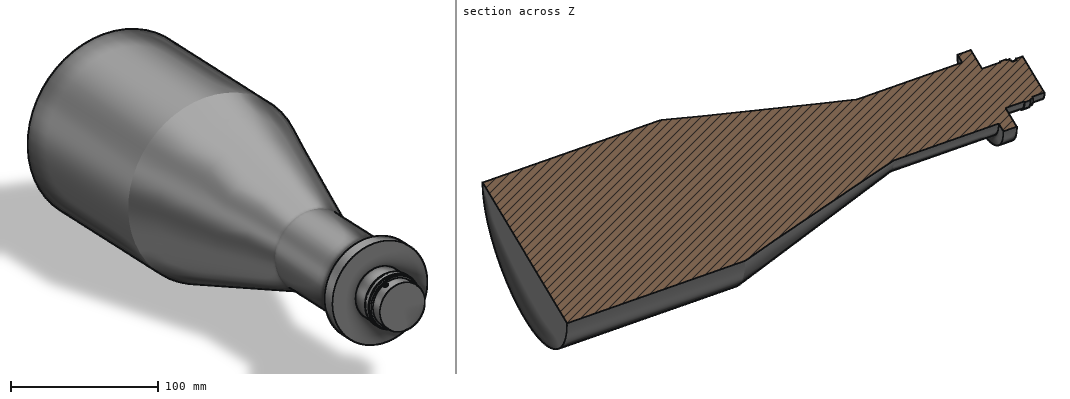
import cadquery as cq

cone_start = 133.0
cone_end = 262.0
flange_start = 340.5
flange_end = 350.8
ring_start = 364.5
ring_end = 369.0
plug_start = 371.3
total_length = 380.5

body_radius = 138.0 / 2
tube_radius = 30.0
flange_radius = 37.5
neck_radius = 19.5
ring_radius = 20.0
plug_radius = 18.0

hole_count = 3
hole_diameter = 3.5
hole_depth = 1.5
hole_x = 373.5
first_hole_angle = 30.0


def make_body():
    """Revolve the stepped outline about the X axis."""
    profile = [
        (0, 0),
        (0, body_radius),
        (cone_start, body_radius),
        (cone_end, tube_radius),
        (flange_start, tube_radius),
        (flange_start, flange_radius),
        (flange_end, flange_radius),
        (flange_end, neck_radius),
        (ring_start, neck_radius),
        (ring_start, ring_radius),
        (ring_end, ring_radius),
        (ring_end, neck_radius),
        (plug_start, neck_radius),
        (plug_start, plug_radius),
        (total_length, plug_radius),
        (total_length, 0),
    ]
    return cq.Workplane("XZ").polyline(profile).close().revolve(360, (0, 0, 0), (1, 0, 0))


def make_radial_hole(angle):
    """Cylinder reaching from outside the plug down to the hole floor."""
    return (
        cq.Workplane("XY", origin=(hole_x, 0, plug_radius - hole_depth))
        .circle(hole_diameter / 2)
        .extrude(2 * hole_depth)
        .rotate((0, 0, 0), (1, 0, 0), angle)
    )


result = make_body()
for hole_index in range(hole_count):
    hole_angle = first_hole_angle + hole_index * 360 / hole_count
    result = result.cut(make_radial_hole(hole_angle))